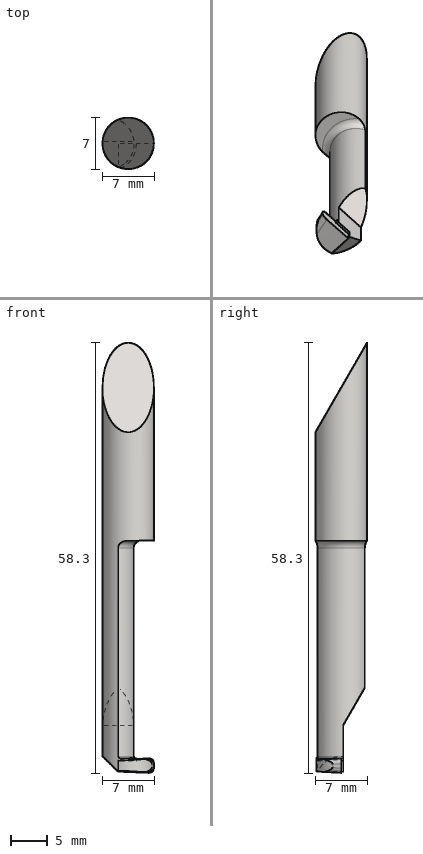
import cadquery as cq
import math


bar_radius = 3.5
overall_length = 58.31
end_cut_angle = 60.0
end_cut_rise = 2 * bar_radius * math.tan(math.radians(end_cut_angle))

neck_width = 4.27
relief_axis_x = neck_width - 2 * bar_radius
neck_edge_x = relief_axis_x / 2
neck_edge_y = -math.sqrt(bar_radius**2 - neck_edge_x**2)
shoulder_z = 31.5
shoulder_fillet = 1.0

tip_width = 2.0
corner_radius = 0.7
rake_y = 0.0
flat_y = 0.3
flat_height = 6.5
side_clearance = 3.0
front_clearance = 14.0
root_taper = 2.0
tip_depth = rake_y + bar_radius
side_inset = tip_depth * math.tan(math.radians(side_clearance))
nose_inset = tip_depth * math.tan(math.radians(front_clearance))
root_inset = (bar_radius - neck_edge_x) * math.tan(math.radians(root_taper))
root_fillet = 0.3
nose_drop = flat_y - rake_y
edge_drop = flat_y - neck_edge_y
wall_axis_x = (bar_radius**2 + nose_drop**2 - neck_edge_x**2 - edge_drop**2) / (2 * (bar_radius - neck_edge_x))
wall_radius = math.hypot(bar_radius - wall_axis_x, nose_drop)

margin = 5.0


def neck_form():
    """Turned form about the shifted axis, leaving the neck, its shoulder fillet and its root fillet."""
    outer = 3 * bar_radius
    root_outer = bar_radius + root_fillet
    shoulder_outer = bar_radius + shoulder_fillet
    bend = 1 - math.sqrt(0.5)
    profile = (
        cq.Workplane("XZ", origin=(relief_axis_x, 0, 0))
        .moveTo(0, -margin)
        .lineTo(root_outer, -margin)
        .lineTo(root_outer, tip_width)
        .threePointArc(
            (bar_radius + bend * root_fillet, tip_width + bend * root_fillet),
            (bar_radius, tip_width + root_fillet),
        )
        .lineTo(bar_radius, shoulder_z - shoulder_fillet)
        .threePointArc(
            (bar_radius + bend * shoulder_fillet, shoulder_z - bend * shoulder_fillet),
            (shoulder_outer, shoulder_z),
        )
        .lineTo(outer, shoulder_z)
        .lineTo(outer, overall_length + margin)
        .lineTo(0, overall_length + margin)
        .close()
    )
    return profile.revolve(360, (0, 0, 0), (0, 1, 0))


def bar_side_outline():
    """The bar in the YZ plane, with the oblique top, the chip clearance and the flat above the tip."""
    chip_run = bar_radius - flat_y
    chip_rise = chip_run * math.tan(math.radians(end_cut_angle))
    return (
        cq.Workplane("YZ")
        .polyline(
            [
                (-bar_radius, 0),
                (flat_y, 0),
                (flat_y, flat_height),
                (bar_radius, flat_height + chip_rise),
                (bar_radius, overall_length),
                (-bar_radius, overall_length - end_cut_rise),
            ]
        )
        .close()
        .extrude(bar_radius, both=True)
    )


def end_bevel():
    """Wedge that bevels the bar at 45 degrees, rising toward -X from the tip's lower root edge."""
    run = bar_radius + neck_edge_x + margin
    return (
        cq.Workplane("XZ")
        .polyline(
            [
                (neck_edge_x, 0),
                (neck_edge_x, root_inset),
                (neck_edge_x - run, root_inset + run),
                (neck_edge_x - run, 0),
            ]
        )
        .close()
        .extrude(bar_radius, both=True)
    )


def tip_section(plane_y, flank_shift, nose_shift):
    """Rounded XZ section of the tip, its flanks and nose moved inward by the given amounts."""
    half_width = tip_width / 2 - flank_shift
    root_half_width = half_width - root_inset
    nose_x = bar_radius - nose_shift
    straight_x = nose_x - corner_radius
    straight_z = half_width - corner_radius
    bend_x = straight_x + corner_radius * math.sqrt(0.5)
    bend_z = straight_z + corner_radius * math.sqrt(0.5)
    section = (
        cq.Workplane("XZ", origin=(0, plane_y, tip_width / 2))
        .moveTo(neck_edge_x, -root_half_width)
        .lineTo(straight_x, -half_width)
        .threePointArc((bend_x, -bend_z), (nose_x, -straight_z))
        .lineTo(nose_x, straight_z)
        .threePointArc((bend_x, bend_z), (straight_x, half_width))
        .lineTo(neck_edge_x, root_half_width)
        .close()
    )
    return section.val()


def make_tip():
    front = tip_section(rake_y, 0, 0)
    back = tip_section(rake_y - tip_depth, side_inset, nose_inset)
    blank = cq.Workplane(cq.Solid.makeLoft([front, back], True))
    wall = cq.Workplane("XY", origin=(wall_axis_x, flat_y, 0)).circle(wall_radius).extrude(tip_width)
    return blank.intersect(wall)


def make_shank(tip):
    bar = cq.Workplane("XY").circle(bar_radius).extrude(overall_length)
    shank = bar.intersect(bar_side_outline()).intersect(neck_form()).cut(end_bevel())
    tip_space = cq.Workplane("XY", origin=(neck_edge_x, 0, 0)).box(
        bar_radius - neck_edge_x,
        2 * bar_radius,
        tip_width - root_inset - side_inset,
        centered=(False, True, False),
    )
    return shank.cut(tip_space).cut(tip)


tip = make_tip()
shank = make_shank(tip)

result = cq.Compound.makeCompound([shank.val(), tip.val()])